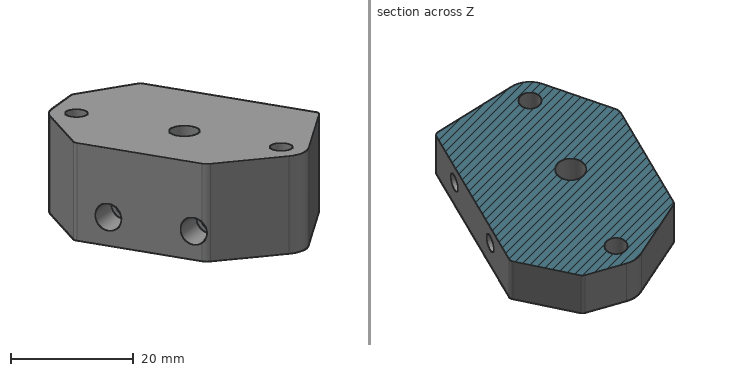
import cadquery as cq
import math

LENGTH = 46.0
WIDTH = 30.0
HEIGHT = 17.0

EAR_RADIUS = 4.5
HOLE_ROW_Y = 12.65
EAR_HOLE_DIAMETER = 3.7
CENTRE_HOLE_X = 24.0
CENTRE_HOLE_DIAMETER = 5.0

SIDE_HOLE_SPACING = 15.4
SIDE_HOLE_Z = 5.0
SIDE_HOLE_DIAMETER = 3.1
COUNTERBORE_DIAMETER = 4.7
COUNTERBORE_DEPTH = 6.0

CORNER_RADIUS = 1.0
FRONT_RIGHT_RADIUS = 2.0
FRONT_EDGE_START_X = 10.57
FRONT_EDGE_END_X = 33.16
BACK_EDGE_START_X = 8.25
BACK_EDGE_END_X = 39.45
LEFT_EDGE_END_Y = 20.0

LEFT_EAR_X = EAR_RADIUS
RIGHT_EAR_X = LENGTH - EAR_RADIUS

CORNER_ROUNDS = [
    (FRONT_EDGE_START_X, CORNER_RADIUS, CORNER_RADIUS),
    (FRONT_EDGE_END_X, FRONT_RIGHT_RADIUS, FRONT_RIGHT_RADIUS),
    (RIGHT_EAR_X, HOLE_ROW_Y, EAR_RADIUS),
    (BACK_EDGE_END_X, WIDTH - CORNER_RADIUS, CORNER_RADIUS),
    (BACK_EDGE_START_X, WIDTH - CORNER_RADIUS, CORNER_RADIUS),
    (CORNER_RADIUS, LEFT_EDGE_END_Y, CORNER_RADIUS),
    (LEFT_EAR_X, HOLE_ROW_Y, EAR_RADIUS),
]


def tangent_normal(start, end):
    """Angle of the outward normal of the outer tangent from one round to the next."""
    dx = end[0] - start[0]
    dy = end[1] - start[1]
    tilt = math.acos((start[2] - end[2]) / math.hypot(dx, dy))
    return math.atan2(dy, dx) - tilt


def point_on(corner, angle):
    """Point of a corner round at the given angle."""
    x, y, radius = corner
    return (x + radius * math.cos(angle), y + radius * math.sin(angle))


def make_block():
    """Extruded outline: straight sides tangent to the corner rounds."""
    count = len(CORNER_ROUNDS)
    normals = [
        tangent_normal(corner, CORNER_ROUNDS[(i + 1) % count])
        for i, corner in enumerate(CORNER_ROUNDS)
    ]
    outline = cq.Workplane("XY").moveTo(*point_on(CORNER_ROUNDS[0], normals[0]))
    for i in range(1, count + 1):
        corner = CORNER_ROUNDS[i % count]
        arc_start = normals[i - 1]
        sweep = (normals[i % count] - arc_start) % math.tau
        outline = outline.lineTo(*point_on(corner, arc_start))
        outline = outline.threePointArc(
            point_on(corner, arc_start + sweep / 2),
            point_on(corner, arc_start + sweep),
        )
    return outline.close().extrude(HEIGHT)


def vertical_hole(x, diameter):
    """Cutter for a hole through the full height, on the common row."""
    return cq.Workplane("XY").center(x, HOLE_ROW_Y).circle(diameter / 2).extrude(HEIGHT)


def side_hole(x):
    """Cutter for a through hole along Y with a counterbore at the front face."""
    front = cq.Workplane("XZ").center(x, SIDE_HOLE_Z)
    bore = front.circle(SIDE_HOLE_DIAMETER / 2).extrude(-WIDTH)
    counterbore = front.circle(COUNTERBORE_DIAMETER / 2).extrude(-COUNTERBORE_DEPTH)
    return bore.union(counterbore)


result = make_block()
for ear_x in (LEFT_EAR_X, RIGHT_EAR_X):
    result = result.cut(vertical_hole(ear_x, EAR_HOLE_DIAMETER))
result = result.cut(vertical_hole(CENTRE_HOLE_X, CENTRE_HOLE_DIAMETER))
for side in (-1, 1):
    result = result.cut(side_hole(CENTRE_HOLE_X + side * SIDE_HOLE_SPACING / 2))